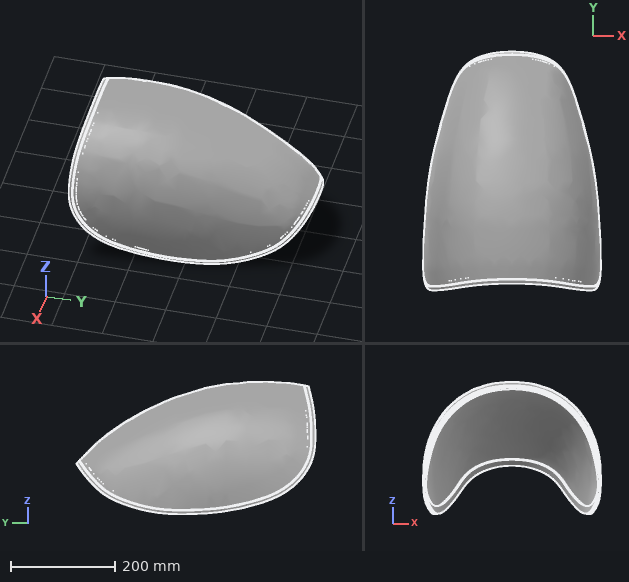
import cadquery as cq
import math


DOME_SECTIONS = [
    (-240, 107.2, 156.3, -44.4),
    (-150, 126.8, 170.7, -58.9),
    (-50, 121.6, 164.4, -58.5),
    (50, 93.5, 147.6, -80.7),
    (140, 47.6, 122.0, -93.9),
    (200, 0.5, 91.8, -75.3),
    (235, -36.1, 45.8, -83.9),
]
SECTION_EXPONENT = 2.18
SECTION_POINTS = 16

EDGE_POINTS = [
    (243, -2),
    (229.5, -30),
    (204, -64),
    (181, -86),
    (135, -109.5),
    (67, -125.5),
    (21, -127.3),
    (-48, -123),
    (-117, -108.5),
    (-163, -90),
    (-205, -55),
    (-226, -13),
    (-229.3, 27),
    (-225, 80),
    (-217, 115),
    (-211, 140),
]

SKIN_DEPTH = 1.4
LINER_DEPTH = 2.8
WALL_DEPTH = 6.0

RIM_WIDTH = 7.0
RIM_GAP = 1.5
LEDGE_DISTANCE = 15.0

BLOCK_TOP = 250.0
BLOCK_HALF_WIDTH = 250.0


def superellipse_point(half_width, half_height, angle):
    """Point at an angle round a superellipse centred on the origin."""
    power = 2 / SECTION_EXPONENT
    cosine = math.cos(angle)
    sine = math.sin(angle)
    x = half_width * math.copysign(abs(cosine) ** power, cosine)
    z = half_height * math.copysign(abs(sine) ** power, sine)
    return x, z


def section_wire(y, crown, half_width, centre):
    """One closed dome cross-section, starting at its lowest point."""
    points = []
    for step in range(SECTION_POINTS):
        angle = 2 * math.pi * step / SECTION_POINTS - math.pi / 2
        x, z = superellipse_point(half_width, crown - centre, angle)
        points.append(cq.Vector(x, y, centre + z))
    return cq.Wire.assembleEdges([cq.Edge.makeSpline(points, periodic=True)])


def make_dome_face():
    """The untrimmed outer surface: the lofted side face, without the flat end caps."""
    loft = cq.Solid.makeLoft([section_wire(*section) for section in DOME_SECTIONS])
    return max(loft.Faces(), key=lambda face: face.Area())


def inset_edge(distance):
    """The free edge moved inward by a distance, square to the chord at each point."""
    last = len(EDGE_POINTS) - 1
    moved = []
    for index, (y, z) in enumerate(EDGE_POINTS):
        y_before, z_before = EDGE_POINTS[max(index - 1, 0)]
        y_after, z_after = EDGE_POINTS[min(index + 1, last)]
        chord_y = y_after - y_before
        chord_z = z_after - z_before
        shift = distance / math.hypot(chord_y, chord_z)
        moved.append((y + shift * chord_z, z - shift * chord_y))
    return moved


def block_inside(distance):
    """Everything farther than a distance from the free edge, as a block along X."""
    points = inset_edge(distance)
    outline = cq.Workplane("YZ").spline(points)
    outline = outline.lineTo(points[-1][0], BLOCK_TOP).lineTo(points[0][0], BLOCK_TOP).close()
    return outline.extrude(BLOCK_HALF_WIDTH, both=True)


def field(dome_face, start):
    """The dome surface from a distance off the free edge inward."""
    return dome_face.intersect(block_inside(start).val()).Faces()[0]


def border(dome_face, start, end):
    """The strip of dome surface between two distances from the free edge."""
    return field(dome_face, start).cut(block_inside(end).val()).Faces()[0]


def layer(face, top_depth, bottom_depth):
    """The wall below a patch of the outer surface, between two depths."""
    if top_depth == 0:
        return face.thicken(-bottom_depth).Solids()[0]
    cover = face.thicken(-top_depth)
    inner_face = sorted(cover.Faces(), key=lambda side: side.Area())[-2]
    return inner_face.thicken(bottom_depth - top_depth).Solids()[0]


def make_skin(dome_face):
    """Thin outer skin, held off the rim by a narrow gap."""
    return layer(field(dome_face, RIM_WIDTH + RIM_GAP), 0, SKIN_DEPTH)


def make_liner(dome_face):
    """Liner against the inside of the skin, reaching out to the rim."""
    return layer(field(dome_face, RIM_WIDTH), SKIN_DEPTH, LINER_DEPTH)


def make_rim(dome_face):
    """Outer strip along the free edge, as deep as the skin and the liner together."""
    return layer(border(dome_face, 0, RIM_WIDTH), 0, LINER_DEPTH)


def make_inner_band(dome_face):
    """Band inside the rim and the liner, from the free edge to a ledge that stands off the liner."""
    return layer(border(dome_face, 0, LEDGE_DISTANCE), LINER_DEPTH, WALL_DEPTH)


dome = make_dome_face()
skin = make_skin(dome)
liner = make_liner(dome)
rim = make_rim(dome)
inner_band = make_inner_band(dome)

result = cq.Compound.makeCompound([skin, liner, rim, inner_band])